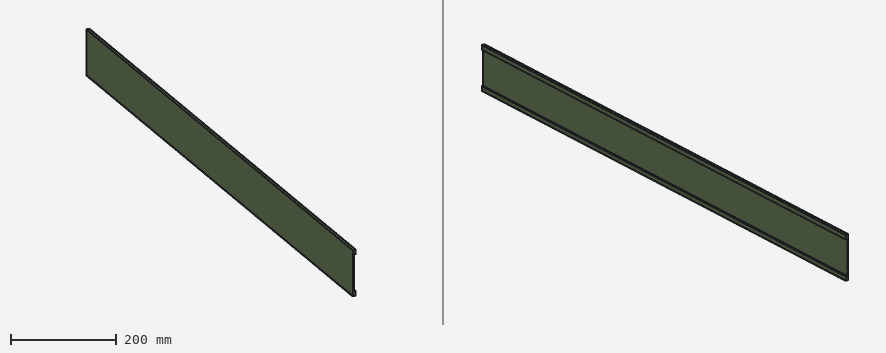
import cadquery as cq

length = 1000.0
depth = 6.0
height = 100.0

web_thickness = 3.0
rail_height = 10.0

panel = cq.Workplane("XY").box(length, depth, height)

recess_depth = depth - web_thickness
recess_height = height - 2 * rail_height
recess = (
    cq.Workplane("XY")
    .box(length, recess_depth, recess_height)
    .translate((0, (depth - recess_depth) / 2, 0))
)

result = panel.cut(recess)